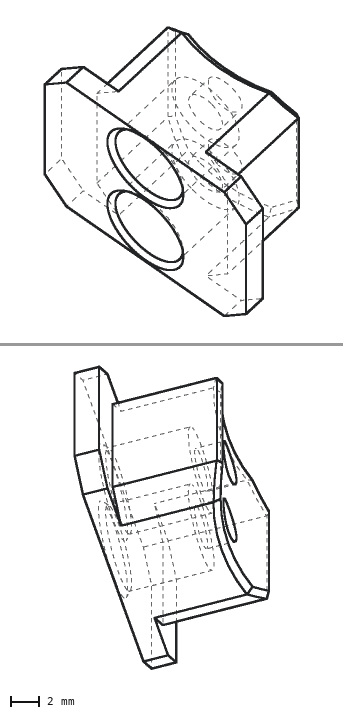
import cadquery as cq

width = 18.5
height = 14.5
flange_thickness = 1.8
corner_cut = 2.0

block_width = 12.0
block_depth = 11.1
saddle_radius = 13.0
saddle_floor = 8.4
saddle_edge_chamfer = 0.5

hole_diameter = 3.1
counterbore_diameter = 6.2
counterbore_depth = 6.4
mouth_diameter = 7.0
mouth_chamfer = (mouth_diameter - counterbore_diameter) / 2
hole_spacing = height / 2


def cut_corner_block(block_x, depth):
    """Box from the flange face (Y = 0) with its four long edges cut at 45 degrees."""
    box = cq.Workplane("XY").box(block_x, depth, height, centered=(True, False, True))
    return box.edges("|Y").chamfer(corner_cut)


def saddle_block():
    """Block with a concave cylindrical end whose whole rim is chamfered."""
    saddle = (
        cq.Workplane("XY")
        .center(0, saddle_floor + saddle_radius)
        .circle(saddle_radius)
        .extrude(height, both=True)
    )
    block = cut_corner_block(block_width, block_depth).cut(saddle)
    return block.faces("%CYLINDER").edges().chamfer(saddle_edge_chamfer)


def screw_hole(z):
    """Through hole with a counterbore and a chamfered mouth, as a turned cutter."""
    hole_radius = hole_diameter / 2
    bore_radius = counterbore_diameter / 2
    profile = [
        (0, 0),
        (bore_radius + mouth_chamfer, 0),
        (bore_radius, mouth_chamfer),
        (bore_radius, counterbore_depth),
        (hole_radius, counterbore_depth),
        (hole_radius, block_depth),
        (0, block_depth),
    ]
    cutter = cq.Workplane("XY").polyline(profile).close().revolve(360, (0, 0, 0), (0, 1, 0))
    return cutter.translate((0, 0, z))


result = cut_corner_block(width, flange_thickness).union(saddle_block())
for side in (-1, 1):
    result = result.cut(screw_hole(side * hole_spacing / 2))